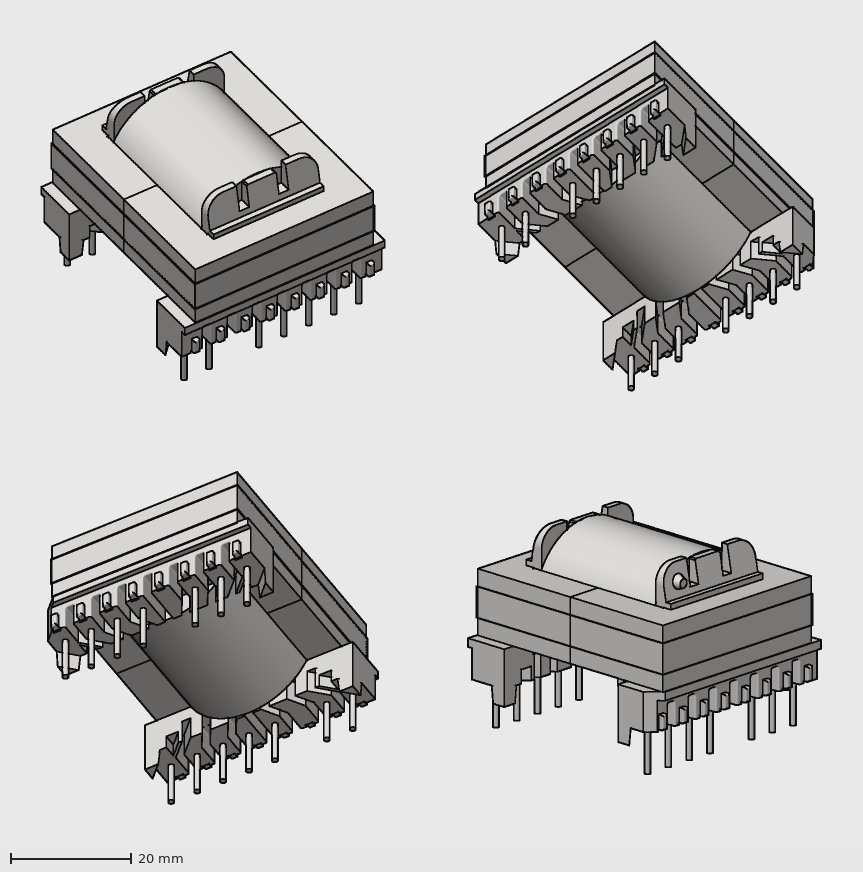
import cadquery as cq
import math


core_half_x = 21.35
core_half_y = 17.8
core_half_z = 5.85
window_half_x = 14.92
window_radius = 12.6
centre_leg_radius = core_half_z

tape_thickness = 0.17
tape_half_z = 2.75

winding_radius = 12.55
winding_half_x = 13.1
tube_radius = 6.7

flange_half_y = 11.0
flange_top_z = 12.95
flange_top_x = 14.35
flange_foot_x = 15.53
flange_corner_radius = 3.45
rim_x = 16.65
rim_top_z = core_half_z + 1.05
middle_tab_top_z = 12.35
middle_tab_half_y = 2.95
middle_tab_chamfer = 0.25
flange_slot_width = 1.95
flange_slot_floor_z = 8.1

nub_y = 7.53
nub_z = 9.5
nub_tip_x = 16.2
nub_length = 1.5
nub_tip_radius = 0.8
nub_base_radius = 1.4

block_half_y = 20.0
block_x = 20.55
block_bottom_z = -12.9
ledge_x = core_half_x + tape_thickness
ledge_bottom_z = -7.4
block_corner_chamfer = 2.6

leg_bottom_z = -16.0
leg_top_width = 2.92
leg_bottom_width = 2.6

terminal_count = 8
terminal_pitch = 5.0
pin_x = 17.45
pin_radius = 0.5
pin_bottom_z = -21.07
missing_pin_left = 3
missing_pin_right = 2
peg_width = 1.1
peg_top_z = -9.9
peg_bottom_z = -12.55
peg_fillet = 0.3
notch_width = 1.35
notch_depth = 0.45

slot_width = 1.6
slot_top_z = -8.45
slot_corner_radius = 0.35
slot_edge_fillet = 0.3
slot_pick_margin = 0.05
slot_bend_x = 16.1
slot_turns = {0: 0, 1: 32, 2: 32, 3: 45}

pocket_outer_y = 15.85
pocket_size = 2.32
pocket_top_z = -10.4


def box(x_range, y_range, z_range):
    """Box between the given pairs of limits."""
    size = [high - low for low, high in (x_range, y_range, z_range)]
    return cq.Workplane().box(*size, centered=False).translate((x_range[0], y_range[0], z_range[0]))


def x_cylinder(radius, half_length):
    """Cylinder centred on the origin along X."""
    start = cq.Vector(-half_length, 0, 0)
    return cq.Workplane(cq.Solid.makeCylinder(radius, 2 * half_length, start, cq.Vector(1, 0, 0)))


def xz_prism(points, half_y):
    """XZ outline extruded to both sides of y = 0."""
    return cq.Workplane("XZ").polyline(points).close().extrude(half_y, both=True)


def row(count, pitch):
    """Evenly spaced y places, symmetric about y = 0."""
    return [(i - (count - 1) / 2) * pitch for i in range(count)]


def gather(bodies):
    """Separate bodies held together, so that one boolean handles them all."""
    return cq.Workplane(cq.Compound.makeCompound([body.val() for body in bodies]))


def both_y_sides(body):
    return body.union(body.mirror("XZ"))


def make_core_half():
    """Core half on the +X side, with its half of the round centre leg."""
    half = box((0, core_half_x), (-core_half_y, core_half_y), (-core_half_z, core_half_z))
    window = x_cylinder(window_radius, window_half_x).cut(x_cylinder(centre_leg_radius, window_half_x))
    return half.cut(window)


def make_tape():
    tape = cq.Workplane().rect(2 * (core_half_x + tape_thickness), 2 * (core_half_y + tape_thickness))
    return tape.rect(2 * core_half_x, 2 * core_half_y).extrude(tape_half_z, both=True)


def make_winding():
    return x_cylinder(winding_radius, winding_half_x).cut(x_cylinder(tube_radius, winding_half_x))


def make_flange():
    """Sloped flange with a rim resting on the core, two slots and a lower middle tab."""
    plate = xz_prism(
        [
            (winding_half_x, -core_half_z),
            (window_half_x, -core_half_z),
            (window_half_x, core_half_z),
            (rim_x, core_half_z),
            (rim_x, rim_top_z),
            (flange_foot_x, rim_top_z),
            (flange_top_x, flange_top_z),
            (winding_half_x, flange_top_z),
        ],
        flange_half_y,
    )
    x_range = (winding_half_x, rim_x)
    outline = box(x_range, (-flange_half_y, flange_half_y), (-core_half_z, flange_top_z))
    outline = outline.edges("|X and >Z").fillet(flange_corner_radius)
    plate = plate.intersect(outline)

    slots_half_y = middle_tab_half_y + flange_slot_width
    opening = box(x_range, (-slots_half_y, slots_half_y), (flange_slot_floor_z, flange_top_z))
    tab = box(x_range, (-middle_tab_half_y, middle_tab_half_y), (flange_slot_floor_z, middle_tab_top_z))
    tab = tab.edges("|X and >Z").chamfer(middle_tab_chamfer)
    return plate.cut(opening.cut(tab))


def make_leg():
    """Tapered triangular leg at the +Y corner."""

    def corner(width):
        return [
            (winding_half_x, block_half_y),
            (winding_half_x + width, block_half_y),
            (winding_half_x, block_half_y - width),
        ]

    leg = cq.Workplane().workplane(offset=block_bottom_z).polyline(corner(leg_top_width)).close()
    leg = leg.workplane(offset=leg_bottom_z - block_bottom_z).polyline(corner(leg_bottom_width)).close()
    return leg.loft(ruled=True)


def make_slot_entry(y):
    """Straight outer part of a wire slot."""
    entry = box(
        (slot_bend_x, ledge_x),
        (y - slot_width / 2, y + slot_width / 2),
        (block_bottom_z, slot_top_z),
    )
    return entry.edges("|X and >Z").fillet(slot_corner_radius)


def make_slot_exit(y, turn):
    """Inner part of a wire slot, sheared in plan by the turn angle."""
    inner_y = y - math.copysign((slot_bend_x - winding_half_x) * math.tan(math.radians(turn)), y)
    plan = [
        (slot_bend_x, y - slot_width / 2),
        (slot_bend_x, y + slot_width / 2),
        (winding_half_x, inner_y + slot_width / 2),
        (winding_half_x, inner_y - slot_width / 2),
    ]
    channel = cq.Workplane().workplane(offset=block_bottom_z).polyline(plan).close()
    return channel.extrude(slot_top_z - block_bottom_z)


def make_notch(y):
    """Shallow notch under a peg, open to the bottom and the outer face of the block."""
    return box(
        (block_x - notch_depth, block_x),
        (y - notch_width / 2, y + notch_width / 2),
        (block_bottom_z, peg_bottom_z),
    )


def make_pocket():
    """Triangular pocket at the +Y end of the block."""
    plan = [
        (winding_half_x, pocket_outer_y),
        (winding_half_x + pocket_size, pocket_outer_y),
        (winding_half_x, pocket_outer_y - pocket_size),
    ]
    pocket = cq.Workplane().workplane(offset=block_bottom_z).polyline(plan).close()
    return pocket.extrude(pocket_top_z - block_bottom_z)


def make_block():
    """Terminal block with ledge, wire slots, notches, pockets and corner legs."""
    block = xz_prism(
        [
            (winding_half_x, -core_half_z),
            (ledge_x, -core_half_z),
            (ledge_x, ledge_bottom_z),
            (block_x, ledge_bottom_z),
            (block_x, block_bottom_z),
            (winding_half_x, block_bottom_z),
        ],
        block_half_y,
    )
    slot_count = terminal_count - 1
    slot_places = row(slot_count, terminal_pitch)
    block = block.cut(gather([make_slot_entry(y) for y in slot_places]))
    mouth = cq.selectors.BoxSelector(
        (block_x - slot_pick_margin, slot_places[0] - slot_width, block_bottom_z + slot_pick_margin),
        (block_x + slot_pick_margin, slot_places[-1] + slot_width, slot_top_z + slot_pick_margin),
    )
    block = block.edges(mouth).fillet(slot_edge_fillet)
    turns = [slot_turns[round(abs(y) / terminal_pitch)] for y in slot_places]
    block = block.cut(gather([make_slot_exit(y, turn) for y, turn in zip(slot_places, turns)]))
    block = block.cut(gather([make_notch(y) for y in row(terminal_count, terminal_pitch)]))
    return block.cut(both_y_sides(make_pocket())).union(both_y_sides(make_leg()))


def make_corner_cut():
    """Triangle that bevels the outer +Y corner of a terminal block."""
    plan = [
        (ledge_x, block_half_y),
        (ledge_x - block_corner_chamfer, block_half_y),
        (ledge_x, block_half_y - block_corner_chamfer),
    ]
    corner = cq.Workplane().workplane(offset=block_bottom_z).polyline(plan).close()
    return corner.extrude(-core_half_z - block_bottom_z)


def make_peg(y):
    """Rounded peg on the outer face of the block."""
    peg = box(
        (block_x - notch_depth, ledge_x),
        (y - peg_width / 2, y + peg_width / 2),
        (peg_bottom_z, peg_top_z),
    )
    return peg.faces(">X").edges().fillet(peg_fillet)


def make_pin(y):
    pin = cq.Workplane().workplane(offset=pin_bottom_z).center(pin_x, y).circle(pin_radius)
    return pin.extrude(block_bottom_z - pin_bottom_z)


def make_bobbin_end(block, missing_pin):
    """Flange and terminal block around the centre leg, with pegs and pins."""
    places = row(terminal_count, terminal_pitch)
    pegs = [make_peg(y) for y in places]
    pins = [make_pin(y) for i, y in enumerate(places) if i != missing_pin]
    end = make_flange().union(block)
    end = end.cut(x_cylinder(centre_leg_radius, window_half_x))
    return end.union(gather(pegs)).union(gather(pins))


def make_nub():
    """Conical nub on the -X flange."""
    nub = cq.Solid.makeCone(
        nub_tip_radius,
        nub_base_radius,
        nub_length,
        pnt=cq.Vector(-nub_tip_x, nub_y, nub_z),
        dir=cq.Vector(1, 0, 0),
    )
    return cq.Workplane(nub)


def make_bobbin():
    tube = x_cylinder(tube_radius, winding_half_x).cut(x_cylinder(centre_leg_radius, winding_half_x))
    block = make_block()
    right_end = make_bobbin_end(block, missing_pin_right)
    left_end = make_bobbin_end(block.cut(make_corner_cut()), missing_pin_left).mirror("YZ")
    return tube.union(right_end).union(left_end).union(make_nub())


right_core = make_core_half()
left_core = right_core.mirror("YZ")
tape = make_tape()
winding = make_winding()
bobbin = make_bobbin()

bodies = [left_core, right_core, tape, winding, bobbin]
result = cq.Compound.makeCompound([body.solids().val() for body in bodies])